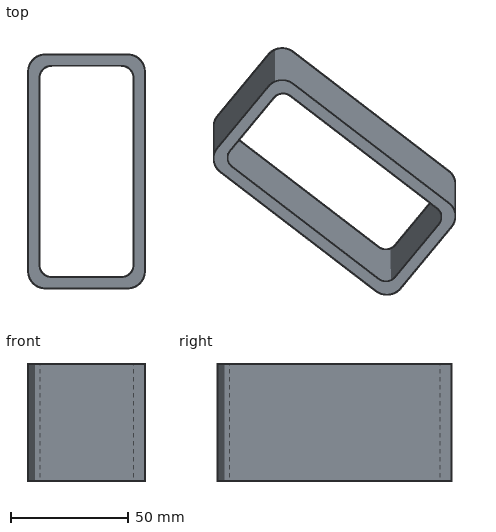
import cadquery as cq

width = 50.0
length = 100.0
height = 50.0
wall = 5.0
outer_radius = 7.5
inner_radius = 5.0


def rounded_block(size_x, size_y, corner_radius):
    """Full-height block with rounded vertical edges, standing on Z = 0."""
    block = cq.Workplane("XY").rect(size_x, size_y).extrude(height)
    return block.edges("|Z").fillet(corner_radius)


outer_body = rounded_block(width, length, outer_radius)
opening = rounded_block(width - 2 * wall, length - 2 * wall, inner_radius)

result = outer_body.cut(opening)